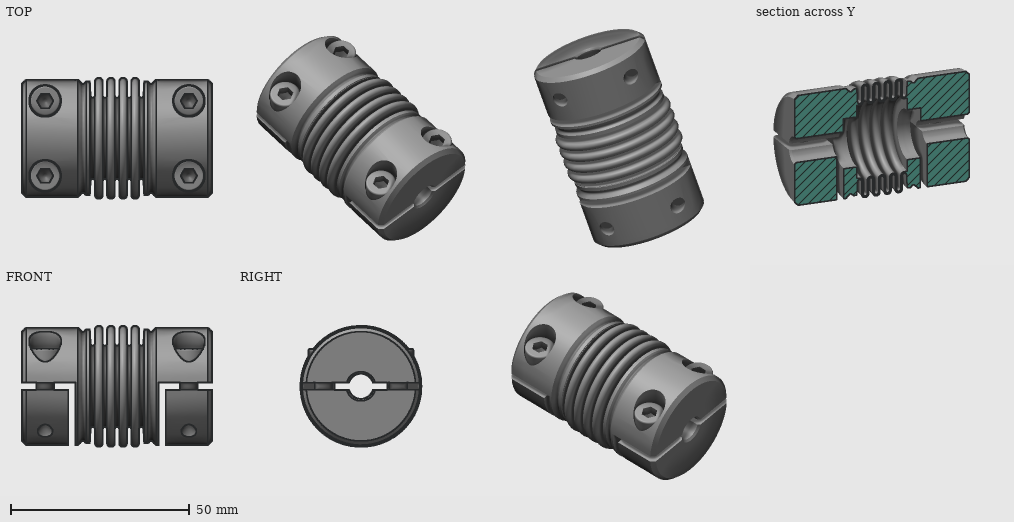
import cadquery as cq
import math


coupling_length = 53.32
half_length = coupling_length / 2

hub_length = 19.0
hub_radius = 33.0 / 2
hub_end_chamfer = 1.15
bore_radius = 7.0 / 2
bore_chamfer = 0.6
relief_radius = 14.8 / 2
hub_outer_face = -half_length
hub_inner_face = hub_outer_face + hub_length

lip_radius = 32.0 / 2
lip_length = 1.0
groove_depth = 1.4
groove_root_radius = 0.5
groove_apex_radius = hub_radius - groove_depth
lip_start = hub_inner_face - lip_length
groove_centre = lip_start - (lip_radius - groove_apex_radius)
groove_start = groove_centre - groove_depth

jaw_length = 13.0
slot_width = 2.0
slot_end = hub_outer_face + jaw_length + slot_width

screw_x = hub_outer_face + 6.5
screw_y = 10.5
screw_radius = 5.0 / 2
screw_length = 12.0
head_radius = 8.5 / 2
head_height = 5.0
head_fillet = 0.5
head_top = 10.5
head_seat = head_top - head_height
counterbore_radius = 9.0 / 2
clearance_radius = 5.4 / 2
thread_radius = 4.13 / 2
hex_across_flats = 4.0
hex_depth = 2.5
hex_corner_radius = hex_across_flats / math.sqrt(3)
drill_point_angle = 118.0

crest_count = 4
crest_pitch = 3.4
crest_radius = 34.0 / 2
root_radius = 11.4
wall = 0.55
crest_arc = crest_pitch / 4 + wall / 2
root_arc = crest_pitch / 4 - wall / 2
flange_radius = 31.2 / 2
flange_rim = 0.08
bellows_start = -crest_count * crest_pitch / 2

SIN_45 = math.sqrt(0.5)


def revolve_about_x(profile):
    """Turn a closed (x, radius) profile into a solid of revolution about X."""
    return profile.revolve(360, (0, 0, 0), (1, 0, 0))


def cylinder_up(x, y, bottom, top, radius):
    return cq.Workplane("XY", origin=(x, y, bottom)).circle(radius).extrude(top - bottom)


def mirror_to_both_ends(body):
    return body.union(body.mirror("YZ"))


def add_convolutions(profile, crest_top, crest_bend, root_bottom, root_bend):
    """Extend a profile, from the first root to the last, with parallel-walled round crests."""
    crest_centre = crest_top - crest_bend
    root_centre = root_bottom + root_bend
    bend_x = root_bend * (1 - SIN_45)
    bend_r = root_centre - root_bend * SIN_45
    for index in range(crest_count):
        x = bellows_start + (index + 0.5) * crest_pitch
        left = x - crest_bend
        right = x + crest_bend
        profile = (
            profile.threePointArc((left - bend_x, bend_r), (left, root_centre))
            .lineTo(left, crest_centre)
            .threePointArc((x, crest_top), (right, crest_centre))
            .lineTo(right, root_centre)
            .threePointArc((right + bend_x, bend_r), (x + crest_pitch / 2, root_bottom))
        )
    return profile


def make_bellows():
    rim_x = hub_inner_face + flange_rim
    root_centre = root_radius + root_arc
    bend_x = bellows_start - root_arc * SIN_45
    bend_r = root_centre - root_arc * SIN_45

    outer = (
        cq.Workplane("XY")
        .moveTo(hub_inner_face, 0)
        .lineTo(hub_inner_face, flange_radius)
        .lineTo(rim_x, flange_radius)
        .lineTo(bellows_start - root_arc, root_centre)
        .threePointArc((bend_x, bend_r), (bellows_start, root_radius))
    )
    outer = add_convolutions(outer, crest_radius, crest_arc, root_radius, root_arc)
    outer = (
        outer.threePointArc((-bend_x, bend_r), (-bellows_start + root_arc, root_centre))
        .lineTo(-rim_x, flange_radius)
        .lineTo(-hub_inner_face, flange_radius)
        .lineTo(-hub_inner_face, 0)
        .close()
    )

    cavity_root = root_radius - wall
    cavity = (
        cq.Workplane("XY")
        .moveTo(hub_inner_face, 0)
        .lineTo(hub_inner_face, cavity_root)
        .lineTo(bellows_start, cavity_root)
    )
    cavity = add_convolutions(cavity, crest_radius - wall, crest_arc - wall, cavity_root, root_arc + wall)
    cavity = cavity.lineTo(-hub_inner_face, cavity_root).lineTo(-hub_inner_face, 0).close()
    return revolve_about_x(outer).cut(revolve_about_x(cavity))


def make_hub_blank():
    """Turned hub with its bore, inner relief, end chamfers and V-groove."""
    root_half_width = groove_root_radius * SIN_45
    root_edge = groove_apex_radius + root_half_width
    root_bottom = groove_apex_radius + groove_root_radius * (math.sqrt(2) - 1)
    profile = (
        cq.Workplane("XY")
        .moveTo(hub_outer_face, bore_radius + bore_chamfer)
        .lineTo(hub_outer_face, hub_radius - hub_end_chamfer)
        .lineTo(hub_outer_face + hub_end_chamfer, hub_radius)
        .lineTo(groove_start, hub_radius)
        .lineTo(groove_centre - root_half_width, root_edge)
        .threePointArc((groove_centre, root_bottom), (groove_centre + root_half_width, root_edge))
        .lineTo(lip_start, lip_radius)
        .lineTo(hub_inner_face, lip_radius)
        .lineTo(hub_inner_face, relief_radius)
        .lineTo(slot_end, relief_radius)
        .lineTo(slot_end, bore_radius)
        .lineTo(hub_outer_face + bore_chamfer, bore_radius)
        .close()
    )
    return revolve_about_x(profile)


def make_clamp_slot():
    """L-shaped cut that frees the lower jaw from the rest of the hub."""
    upper = slot_width / 2
    lower = -slot_width / 2
    jaw_end = hub_outer_face + jaw_length
    return (
        cq.Workplane("XZ")
        .moveTo(hub_outer_face, upper)
        .lineTo(slot_end, upper)
        .lineTo(slot_end, -hub_radius)
        .lineTo(jaw_end, -hub_radius)
        .lineTo(jaw_end, lower)
        .lineTo(hub_outer_face, lower)
        .close()
        .extrude(hub_radius, both=True)
    )


def make_screw_hole(y):
    counterbore = cylinder_up(screw_x, y, head_seat, hub_radius, counterbore_radius)
    clearance = cylinder_up(screw_x, y, 0, head_seat, clearance_radius)
    thread = cylinder_up(screw_x, y, -hub_radius, 0, thread_radius)
    return counterbore.union(clearance).union(thread)


def make_hex_socket(y):
    """Hexagon socket ending in a conical drill point."""
    cone_height = hex_corner_radius / math.tan(math.radians(drill_point_angle / 2))
    wall_bottom = head_top - hex_depth
    hexagon = (
        cq.Workplane("XY", origin=(screw_x, y, head_top))
        .polygon(6, 2 * hex_corner_radius)
        .extrude(-(hex_depth + cone_height))
    )
    drill = (
        cq.Workplane("XZ", origin=(screw_x, y, 0))
        .moveTo(0, head_top)
        .lineTo(hex_corner_radius, head_top)
        .lineTo(hex_corner_radius, wall_bottom)
        .lineTo(0, wall_bottom - cone_height)
        .close()
        .revolve(360, (0, 0, 0), (0, 1, 0))
    )
    return hexagon.intersect(drill)


def make_screw(y):
    head = cylinder_up(screw_x, y, head_seat, head_top, head_radius).faces(">Z").edges().fillet(head_fillet)
    shank = cylinder_up(screw_x, y, head_seat - screw_length, head_seat, screw_radius)
    return head.union(shank).cut(make_hex_socket(y))


def make_clamping_hub():
    hub = make_hub_blank().cut(make_clamp_slot())
    for y in (-screw_y, screw_y):
        hub = hub.cut(make_screw_hole(y))
        hub = hub.union(make_screw(y))
    return hub


result = mirror_to_both_ends(make_clamping_hub()).union(make_bellows())